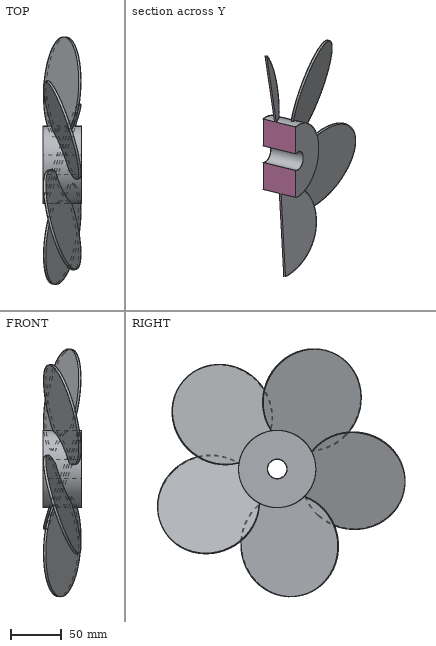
import cadquery as cq

hub_length = 38.0
hub_diameter = 76.2
bore_diameter = 19.0

blade_count = 5
blade_radius = 50.8
blade_thickness = 2.5
blade_pitch = 20
blade_centre_distance = 76.2
first_blade_angle = -8.7


def make_hub():
    return (
        cq.Workplane("YZ")
        .circle(hub_diameter / 2)
        .circle(bore_diameter / 2)
        .extrude(hub_length / 2, both=True)
    )


def make_blade(angle):
    """Pitched disc whose centre lies at the given angle around the X axis."""
    return (
        cq.Workplane("YZ")
        .circle(blade_radius)
        .extrude(blade_thickness / 2, both=True)
        .rotate((0, 0, 0), (0, 1, 0), blade_pitch)
        .translate((0, blade_centre_distance, 0))
        .rotate((0, 0, 0), (1, 0, 0), angle)
    )


result = make_hub()
for index in range(blade_count):
    blade_angle = first_blade_angle + index * 360 / blade_count
    result = result.union(make_blade(blade_angle))